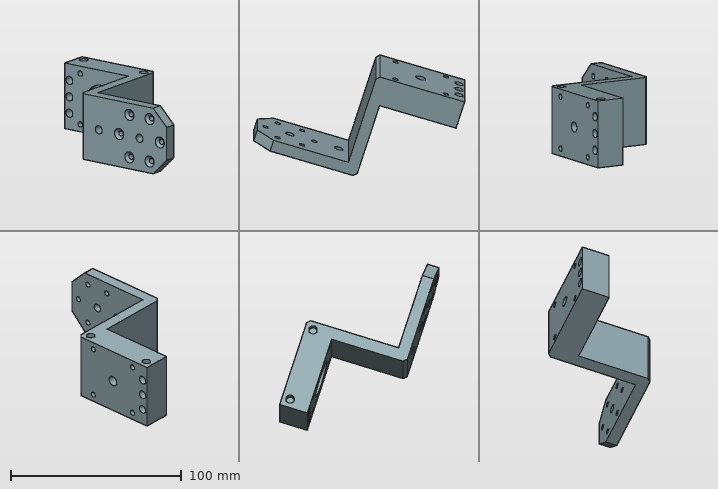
import cadquery as cq
import math

length = 110.0
depth = 63.0
height = 40.0
mid_height = height / 2

wall = 7.0
block_length = 54.0
block_depth = 17.0
bend_chamfer = 2.0
tip_chamfer = 10.0
web_start = block_length - wall
block_front = depth - block_depth

motor_x = block_length / 2
motor_bolt_spacing = 31.0
motor_bolt_diameter = 3.2
shaft_diameter = 6.0
pilot_diameter = 22.0
pilot_depth = 3.0

plain_diameter = 5.0
end_hole_x = 3.5
end_hole_pitch = 10.0
top_hole_inset = 5.0
top_hole_depth = 5.0

ring_x = 90.0
ring_radius = 15.0
screw_count = 6
screw_diameter = 3.2
screw_head_diameter = 6.7
screw_head_angle = 90.0
extra_hole_x = 60.0


def bracket_body():
    """Extruded Z profile with chamfered outer bends and a tapered plate tip."""
    profile = [
        (0, depth),
        (block_length, depth),
        (block_length, wall),
        (length, wall),
        (length, 0),
        (web_start, 0),
        (web_start, block_front),
        (0, block_front),
    ]
    body = cq.Workplane("XY").polyline(profile).close().extrude(height)
    outer_bends = [(block_length, depth, mid_height), (web_start, 0, mid_height)]
    for bend in outer_bends:
        nearest_edge = cq.selectors.NearestToPointSelector(bend)
        body = body.edges("|Z").edges(nearest_edge).chamfer(bend_chamfer)
    return body.faces(">X").edges("|Y").chamfer(tip_chamfer)


def face_plane(front_y):
    """Workplane on a front face: local x is X, local y is Z measured from mid height."""
    return cq.Workplane("XZ", origin=(0, front_y, mid_height))


def bores(front_y, points, diameter, bore_depth):
    """Cylinders running from a front face toward +Y."""
    return face_plane(front_y).pushPoints(points).circle(diameter / 2).extrude(-bore_depth)


def cut_motor_mount(body):
    """Pilot recess, shaft hole and square pattern of bolt holes."""
    half_spacing = motor_bolt_spacing / 2
    bolt_points = [
        (motor_x + side * half_spacing, level * half_spacing)
        for side in (-1, 1)
        for level in (-1, 1)
    ]
    centre = [(motor_x, 0)]
    body = body.cut(bores(block_front, centre, pilot_diameter, pilot_depth))
    body = body.cut(bores(block_front, centre, shaft_diameter, block_depth))
    return body.cut(bores(block_front, bolt_points, motor_bolt_diameter, block_depth))


def cut_end_holes(body):
    """Column of three through holes beside the free end of the block."""
    points = [(end_hole_x, step * end_hole_pitch) for step in (-1, 0, 1)]
    return body.cut(bores(block_front, points, plain_diameter, block_depth))


def cut_top_holes(body):
    """Two blind holes in the top of the block, near its back corners."""
    hole_y = depth - top_hole_inset
    points = [(top_hole_inset, hole_y), (block_length - top_hole_inset, hole_y)]
    top = cq.Workplane("XY", origin=(0, 0, height))
    return body.cut(top.pushPoints(points).circle(plain_diameter / 2).extrude(-top_hole_depth))


def cut_plate_holes(body):
    """Two plain holes and the ring of countersunk screw holes."""
    plain_points = [(extra_hole_x, 0), (ring_x, 0)]
    body = body.cut(bores(0, plain_points, plain_diameter, wall))
    ring_angles = [2 * math.pi * index / screw_count for index in range(screw_count)]
    ring_points = [
        (ring_x + ring_radius * math.cos(angle), ring_radius * math.sin(angle))
        for angle in ring_angles
    ]
    return (
        body.copyWorkplane(face_plane(0))
        .pushPoints(ring_points)
        .cskHole(screw_diameter, screw_head_diameter, screw_head_angle, depth=wall)
    )


result = bracket_body()
result = cut_motor_mount(result)
result = cut_end_holes(result)
result = cut_top_holes(result)
result = cut_plate_holes(result)